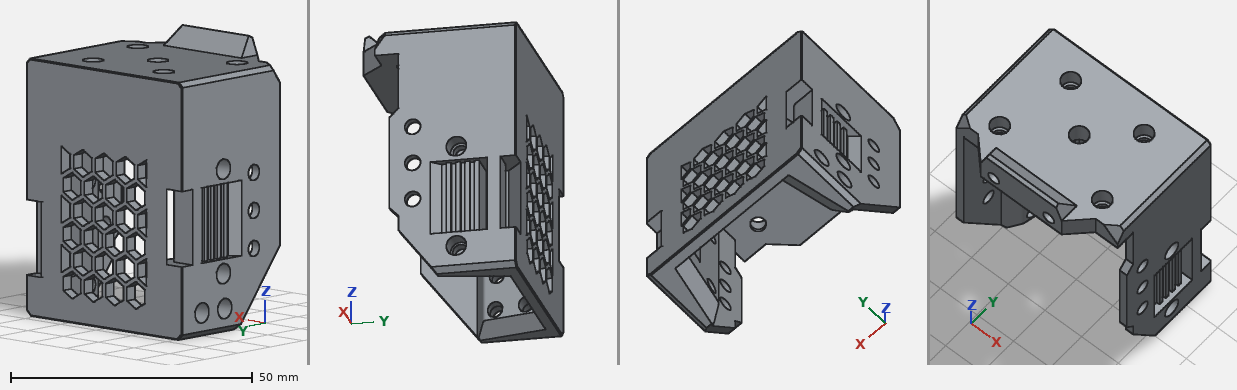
import cadquery as cq
import math

WIDTH = 44.0
DEPTH = 30.0
HEIGHT = 54.29
HALF_WIDTH = WIDTH / 2

TOP_PLATE = 5.25
BACK_PLATE = 2.5
SIDE_WALL = 2.0
PLATE_UNDERSIDE = HEIGHT - TOP_PLATE
OVERCUT = 1.0

TOP_CHAMFER = 1.0
BOTTOM_CHAMFER = 1.2
BACK_CHAMFER = 0.25
CORNER_FACET_LEG = 3.8
CORNER_FACET_DEPTH = 2.0

SLOPE_FRONT_Z = 16.25
SLOPE_BOTTOM_Y = -17.1

PAD_BACK_X = 13.0
PAD_CORNER_X = 15.95
PAD_CORNER_Y = -15.7
PAD_FRONT_X = HALF_WIDTH - SIDE_WALL
PAD_FRONT_Y = -18.0
PAD_CORNER_RADIUS = 1.2
PAD_BOTTOM_CHAMFER = 3.0

RIGHT_FRONT_Y = -25.0
LUG_REACH = 2.0
LUG_BOTTOM = 13.1
LUG_TOP = 37.0

NOSE_REACH = 5.0
NOSE_HALF_WIDTH = 11.0
NOSE_FRONT_Y = -DEPTH - NOSE_REACH
WEDGE_HEIGHT = 4.0
WEDGE_BACK_Y = -30.1
WEDGE_RIDGE_Y = WEDGE_BACK_Y - WEDGE_HEIGHT
WEDGE_FRONT_HEIGHT = 3.5
WEDGE_RIDGE_HALF_WIDTH = 9.35
NOSE_HOLE_DIAMETER = 3.0
NOSE_HOLE_X = 7.5
NOSE_HOLE_BELOW_TOP = 2.4
NOSE_HOLE_DEPTH = 8.0

TOP_SEAT_DIAMETER = 4.35
SIDE_SEAT_DIAMETER = 4.25
SEAT_DEPTH = 4.0
SCREW_HOLE = 3.3
DRILL_POINT_ANGLE = math.radians(118)

CENTRE_HOLE_DIAMETER = 4.35
CENTRE_HOLE_Y = -16.5
TOP_HOLES = [(10.0, -7.5), (14.0, -25.5)]

HEX_FLATS = 5.0
HEX_PITCH = 6.0
HEX_ROW_PITCH = HEX_PITCH * math.sin(math.radians(60))
HEX_ROWS = 6
HEX_SIDE_COLUMNS = 2
HEX_TOP_ROW_Z = 34.0
GRILLE_HALF_WIDTH = 12.0

BELT_WIDTH = 15.9
LEFT_BELT_Z = 23.5
RIGHT_BELT_Z = 16.5
POST_BACK_Y = -3.3
POST_FRONT_Y = -6.15
POST_INNER_X = 15.9
CHANNEL_WIDTH = 2.0
TOOTH_COUNT = 4
TOOTH_PITCH = 2.0
TOOTH_WIDTH = 1.0
TOOTH_HEIGHT = 0.75
CLAMP_DEPTH = 2.0
CLAMP_FRONT_Y = -18.25
RAMP_BACK_X = 17.75
RAMP_FRONT_X = 13.25
RAMP_FRONT_Y = -3.6

CROSS_HOLE_DIAMETER = 3.3
CROSS_HOLE_Y = -22.0
CROSS_HOLE_LOW_Z = 16.6
CROSS_HOLE_PITCH = 8.0
CROSS_HOLE_COUNT = 3
CLAMP_SCREW_Y = -12.7
CLAMP_SCREW_OFFSET = 11.0
LEFT_LOW_HOLES_Y = [-6.15, -13.1]
LEFT_LOW_HOLES_Z = 5.1


def vertical_prism(points, bottom, top):
    return cq.Workplane("XY").workplane(offset=bottom).polyline(points).close().extrude(top - bottom)


def side_prism(points, x_start, x_end):
    """Prism along X from a list of (y, z) points."""
    return cq.Workplane("YZ").workplane(offset=x_start).polyline(points).close().extrude(x_end - x_start)


def front_prism(points, y_start, y_end):
    """Prism along Y from a list of (x, z) points, with y_end below y_start."""
    return cq.Workplane("XZ").workplane(offset=-y_start).polyline(points).close().extrude(y_start - y_end)


def mirrored(solid):
    return solid.mirror("YZ")


def inner_pad():
    """Thickened part of the left wall; the lower edge of its inclined face is bevelled."""
    outline = [
        (-PAD_FRONT_X, -BACK_PLATE),
        (-PAD_BACK_X, -BACK_PLATE),
        (-PAD_CORNER_X, PAD_CORNER_Y),
        (-PAD_FRONT_X, PAD_FRONT_Y),
    ]
    corner = cq.selectors.NearestToPointSelector((-PAD_CORNER_X, PAD_CORNER_Y, HEIGHT / 2))
    pad = vertical_prism(outline, 0, HEIGHT).edges(corner).fillet(PAD_CORNER_RADIUS)

    face_x = PAD_BACK_X - PAD_CORNER_X
    face_y = PAD_CORNER_Y + BACK_PLATE
    across_face = cq.Plane(
        origin=(-PAD_BACK_X, -BACK_PLATE, 0),
        xDir=(-face_y, face_x, 0),
        normal=(face_x, face_y, 0),
    )
    bevel_profile = [
        (-PAD_BOTTOM_CHAMFER, 0),
        (0, PAD_BOTTOM_CHAMFER),
        (OVERCUT, PAD_BOTTOM_CHAMFER),
        (OVERCUT, 0),
    ]
    bevel = cq.Workplane(across_face).polyline(bevel_profile).close().extrude(DEPTH, both=True)
    return pad.cut(bevel)


def body():
    on_middle = (True, False, False)
    shell = cq.Workplane("XY").box(WIDTH, DEPTH, HEIGHT, centered=on_middle)
    shell = shell.translate((0, -DEPTH, 0))
    cavity_depth = DEPTH - BACK_PLATE + OVERCUT
    cavity_height = PLATE_UNDERSIDE + OVERCUT
    cavity = cq.Workplane("XY").box(2 * PAD_FRONT_X, cavity_depth, cavity_height, centered=on_middle)
    cavity = cavity.translate((0, -DEPTH - OVERCUT, -OVERCUT))
    shell = shell.cut(cavity)
    shell = shell.edges("|Y and >Z").edges("<X or >X").chamfer(TOP_CHAMFER)
    shell = shell.edges("|Y and <Z").edges("<X or >X").chamfer(BOTTOM_CHAMFER)
    shell = shell.faces(">Y").edges().chamfer(BACK_CHAMFER)
    return shell.union(inner_pad()).union(mirrored(inner_pad()))


def corner_facet():
    """Tapering wedge removed from the top left front corner."""

    def corner_triangle(y, leg):
        return cq.Wire.makePolygon(
            [
                cq.Vector(-HALF_WIDTH, y, HEIGHT),
                cq.Vector(-HALF_WIDTH + leg, y, HEIGHT),
                cq.Vector(-HALF_WIDTH, y, HEIGHT - leg),
            ],
            close=True,
        )

    back = corner_triangle(-DEPTH + CORNER_FACET_DEPTH, TOP_CHAMFER)
    front = corner_triangle(-DEPTH, CORNER_FACET_LEG)
    return cq.Workplane(obj=cq.Solid.makeLoft([back, front], True))


def lower_front_slope():
    return side_prism(
        [
            (SLOPE_BOTTOM_Y, 0),
            (SLOPE_BOTTOM_Y, -OVERCUT),
            (-DEPTH - OVERCUT, -OVERCUT),
            (-DEPTH - OVERCUT, SLOPE_FRONT_Z),
            (-DEPTH, SLOPE_FRONT_Z),
        ],
        -HALF_WIDTH,
        HALF_WIDTH,
    )


def right_wall_setback():
    """Space in front of the right wall, leaving the raised lug with 45 degree ends."""
    lug_y = RIGHT_FRONT_Y - LUG_REACH
    return side_prism(
        [
            (-DEPTH - OVERCUT, 0),
            (RIGHT_FRONT_Y, 0),
            (RIGHT_FRONT_Y, LUG_BOTTOM),
            (lug_y, LUG_BOTTOM + LUG_REACH),
            (lug_y, LUG_TOP - LUG_REACH),
            (RIGHT_FRONT_Y, LUG_TOP),
            (RIGHT_FRONT_Y, PLATE_UNDERSIDE),
            (-DEPTH - OVERCUT, PLATE_UNDERSIDE),
        ],
        PAD_FRONT_X,
        HALF_WIDTH,
    )


def nose():
    base_half_width = NOSE_HALF_WIDTH + NOSE_REACH
    plate = vertical_prism(
        [
            (-base_half_width, -DEPTH),
            (-NOSE_HALF_WIDTH, NOSE_FRONT_Y),
            (NOSE_HALF_WIDTH, NOSE_FRONT_Y),
            (base_half_width, -DEPTH),
        ],
        PLATE_UNDERSIDE,
        HEIGHT,
    )
    wedge = side_prism(
        [
            (WEDGE_BACK_Y, HEIGHT),
            (WEDGE_RIDGE_Y, HEIGHT + WEDGE_HEIGHT),
            (NOSE_FRONT_Y, HEIGHT + WEDGE_FRONT_HEIGHT),
            (NOSE_FRONT_Y, HEIGHT),
        ],
        -NOSE_HALF_WIDTH,
        NOSE_HALF_WIDTH,
    )
    wedge_sides = front_prism(
        [
            (-NOSE_HALF_WIDTH, HEIGHT),
            (-WEDGE_RIDGE_HALF_WIDTH, HEIGHT + WEDGE_HEIGHT),
            (WEDGE_RIDGE_HALF_WIDTH, HEIGHT + WEDGE_HEIGHT),
            (NOSE_HALF_WIDTH, HEIGHT),
        ],
        -DEPTH,
        NOSE_FRONT_Y,
    )
    return plate.union(wedge.intersect(wedge_sides))


def hole(diameter, length, start, direction):
    return cq.Workplane(
        obj=cq.Solid.makeCylinder(diameter / 2, length, cq.Vector(*start), cq.Vector(*direction))
    )


def insert_hole(seat_diameter, through_length, start, direction, conical):
    """Screw hole with a wider seat for a threaded insert; the seat ends flat or in a drill-point cone."""
    origin = cq.Vector(*start)
    axis = cq.Vector(*direction)
    cutter = hole(seat_diameter, SEAT_DEPTH, start, direction)
    cutter = cutter.union(hole(SCREW_HOLE, through_length, start, direction))
    if conical:
        cone_length = (seat_diameter - SCREW_HOLE) / 2 / math.tan(DRILL_POINT_ANGLE / 2)
        cone = cq.Solid.makeCone(
            seat_diameter / 2, SCREW_HOLE / 2, cone_length, origin + axis * SEAT_DEPTH, axis
        )
        cutter = cutter.union(cq.Workplane(obj=cone))
    return cutter


def nose_holes():
    hole_z = HEIGHT - NOSE_HOLE_BELOW_TOP
    left = hole(NOSE_HOLE_DIAMETER, NOSE_HOLE_DEPTH, (-NOSE_HOLE_X, NOSE_FRONT_Y, hole_z), (0, 1, 0))
    return left.union(mirrored(left))


def top_plate_holes():
    down = (0, 0, -1)
    holes = hole(CENTRE_HOLE_DIAMETER, TOP_PLATE, (0, CENTRE_HOLE_Y, HEIGHT), down)
    for x, y in TOP_HOLES:
        for side in (-1, 1):
            start = (side * x, y, HEIGHT)
            holes = holes.union(insert_hole(TOP_SEAT_DIAMETER, TOP_PLATE, start, down, conical=True))
    return holes


def hexagon_grille():
    """Staggered rows of hexagons, clipped straight at the grille sides."""
    centres = []
    for row in range(HEX_ROWS):
        stagger = HEX_PITCH / 2 if row % 2 else 0
        for column in range(-HEX_SIDE_COLUMNS, HEX_SIDE_COLUMNS + 1):
            centres.append((column * HEX_PITCH - stagger, HEX_TOP_ROW_Z - row * HEX_ROW_PITCH))
    corner_diameter = HEX_FLATS / math.cos(math.radians(30))
    hexagon = cq.Sketch().regularPolygon(corner_diameter / 2, 6)
    hexagons = cq.Workplane("XZ").pushPoints(centres).placeSketch(hexagon).extrude(BACK_PLATE)
    window = cq.Workplane("XY").box(2 * GRILLE_HALF_WIDTH, WIDTH, 2 * HEIGHT)
    return hexagons.intersect(window)


def belt_clamp(centre_z):
    """Left wall opening: toothed bed, channel round the post and notch at the back."""
    bottom = centre_z - BELT_WIDTH / 2
    top = centre_z + BELT_WIDTH / 2
    bed_back_y = POST_FRONT_Y - CHANNEL_WIDTH
    bed_x = -HALF_WIDTH + CLAMP_DEPTH

    path = vertical_prism(
        [
            (-HALF_WIDTH, OVERCUT),
            (-RAMP_BACK_X, OVERCUT),
            (-RAMP_BACK_X, 0),
            (-RAMP_FRONT_X, RAMP_FRONT_Y),
            (-PAD_BACK_X, RAMP_FRONT_Y),
            (-PAD_BACK_X, bed_back_y),
            (-HALF_WIDTH, bed_back_y),
        ],
        bottom,
        top,
    )
    post_radius = (POST_BACK_Y - POST_FRONT_Y) / 2
    post_centre_x = -POST_INNER_X - post_radius
    post = (
        cq.Workplane("XY")
        .workplane(offset=bottom)
        .moveTo(-HALF_WIDTH, POST_FRONT_Y)
        .lineTo(post_centre_x, POST_FRONT_Y)
        .threePointArc((-POST_INNER_X, POST_FRONT_Y + post_radius), (post_centre_x, POST_BACK_Y))
        .lineTo(-HALF_WIDTH, POST_BACK_Y)
        .close()
        .extrude(BELT_WIDTH)
    )
    bed = vertical_prism(
        [
            (-HALF_WIDTH, bed_back_y),
            (bed_x, bed_back_y),
            (bed_x, CLAMP_FRONT_Y + CLAMP_DEPTH),
            (-HALF_WIDTH, CLAMP_FRONT_Y),
        ],
        bottom,
        top,
    )
    for index in range(TOOTH_COUNT):
        tooth = cq.Workplane("XY").box(TOOTH_HEIGHT, TOOTH_WIDTH, BELT_WIDTH, centered=False)
        tooth_y = bed_back_y - TOOTH_WIDTH - index * TOOTH_PITCH
        bed = bed.cut(tooth.translate((bed_x - TOOTH_HEIGHT, tooth_y, bottom)))
    return path.cut(post).union(bed)


def wall_insert_hole(y, z, conical=False):
    """Left wall insert hole, running from the outer face through the inclined inner face."""
    through_length = HALF_WIDTH - PAD_BACK_X
    return insert_hole(SIDE_SEAT_DIAMETER, through_length, (-HALF_WIDTH, y, z), (1, 0, 0), conical)


def clamp_with_screws(centre_z):
    """Left wall belt clamp with one screw hole above and one below it."""
    upper = wall_insert_hole(CLAMP_SCREW_Y, centre_z + CLAMP_SCREW_OFFSET, conical=True)
    lower = wall_insert_hole(CLAMP_SCREW_Y, centre_z - CLAMP_SCREW_OFFSET)
    return belt_clamp(centre_z).union(upper).union(lower)


def cross_holes():
    holes = cq.Workplane("XY")
    for index in range(CROSS_HOLE_COUNT):
        z = CROSS_HOLE_LOW_Z + index * CROSS_HOLE_PITCH
        holes = holes.add(hole(CROSS_HOLE_DIAMETER, WIDTH, (-HALF_WIDTH, CROSS_HOLE_Y, z), (1, 0, 0)))
    return holes.combine()


def low_left_holes():
    holes = cq.Workplane("XY")
    for y in LEFT_LOW_HOLES_Y:
        holes = holes.add(wall_insert_hole(y, LEFT_LOW_HOLES_Z))
    return holes.combine()


part = body().cut(lower_front_slope()).cut(right_wall_setback())
part = part.cut(corner_facet()).cut(mirrored(corner_facet()))
part = part.union(nose()).cut(nose_holes())
part = part.cut(top_plate_holes()).cut(hexagon_grille())
part = part.cut(clamp_with_screws(LEFT_BELT_Z))
part = part.cut(mirrored(clamp_with_screws(RIGHT_BELT_Z)))
part = part.cut(cross_holes())
result = part.cut(low_left_holes())